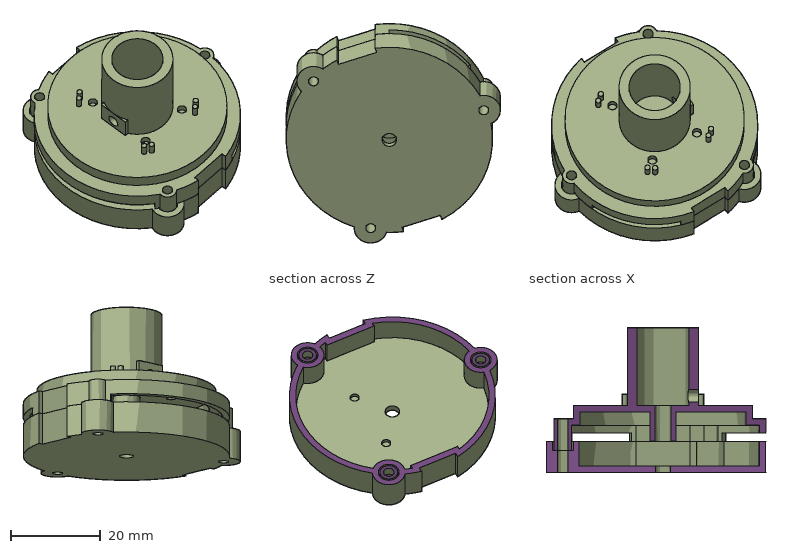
import cadquery as cq
import math

base_height = 6.95
vent_top = 8.8
flange_top = 12.05
lid_top = 15.0
pin_top = 17.5
pad_top = 20.0
tube_top = 32.3

wall = 1.5
outer_radius = 46.0 / 2
inner_radius = outer_radius - wall
lid_radius = 20.0
lid_inner_radius = 37.0 / 2

flat_distance = 21.45
flat_half_width = 4.5
block_outer = 21.75
block_inner = 19.8
block_half_width = 6.0

lug_circle_radius = 22.3
lug_angles = [90, 210, 330]
lug_diameter = 7.4
boss_diameter = 4.0
socket_diameter = 4.5
socket_depth = 2.0
screw_hole_diameter = 2.2

vent_arcs = [(19, 71), (109, 161), (217.6, 322.4)]

shaft_hole_diameter = 3.5
base_shaft_hole_diameter = 3.2

floor_recess_diameter = 2.0
floor_recess_places = [(-7.5, -5.55), (7.5, -5.55)]
floor_recess_depth = wall / 2

tube_diameter = 15.85
tube_bore_diameter = 11.4
bushing_diameter = 6.0

pad_half_width = 3.63
pad_hole_diameter = 2.7
pad_hole_height = 17.1

lid_hole_diameter = 2.0
lid_hole_place = (8.0, 6.0)
pin_diameter = 1.2
pin_places = [(9.85, 8.5), (10.9, 7.15)]

lug_places = [
    (
        lug_circle_radius * math.cos(math.radians(angle)),
        lug_circle_radius * math.sin(math.radians(angle)),
    )
    for angle in lug_angles
]


def in_four_quadrants(x, y):
    return [(sx * x, sy * y) for sx in (1, -1) for sy in (1, -1)]


def cylinders(places, diameter, bottom, top):
    """Upright cylinders between two heights, one at each place."""
    return (
        cq.Workplane("XY", origin=(0, 0, bottom))
        .pushPoints(places)
        .circle(diameter / 2)
        .extrude(top - bottom)
    )


def disc(radius, bottom, top):
    return cylinders([(0, 0)], 2 * radius, bottom, top)


def upright_box(x_range, y_range, z_range):
    sizes = [high - low for low, high in (x_range, y_range, z_range)]
    corner = (x_range[0], y_range[0], z_range[0])
    return cq.Workplane("XY", origin=corner).box(*sizes, centered=False)


def side_blocks(bottom, top):
    """Straight wall blocks behind the two side flats."""
    right = upright_box(
        (block_inner, block_outer), (-block_half_width, block_half_width), (bottom, top)
    )
    return right.union(right.mirror("YZ"))


def side_notches(bottom, top):
    """Cutters that leave the two side flats."""
    right = upright_box(
        (flat_distance, outer_radius + wall), (-flat_half_width, flat_half_width), (bottom, top)
    )
    return right.union(right.mirror("YZ"))


def vent_sector(start, end):
    """Wedge between two angles, reaching from the axis to beyond the wall."""
    reach = 2 * outer_radius
    corners = [
        (reach * math.cos(math.radians(angle)), reach * math.sin(math.radians(angle)))
        for angle in (start, (start + end) / 2, end)
    ]
    return (
        cq.Workplane("XY", origin=(0, 0, base_height))
        .polyline([(0, 0)] + corners)
        .close()
        .extrude(vent_top - base_height)
    )


def make_base():
    body = disc(outer_radius, 0, base_height)
    body = body.cut(disc(inner_radius, wall, base_height))
    body = body.union(side_blocks(0, base_height))
    body = body.union(cylinders(lug_places, lug_diameter, 0, base_height))
    body = body.cut(side_notches(0, base_height))
    body = body.cut(cylinders(lug_places, socket_diameter, base_height - socket_depth, base_height))
    body = body.cut(cylinders(lug_places, screw_hole_diameter, 0, base_height))
    body = body.cut(
        cylinders(floor_recess_places, floor_recess_diameter, wall - floor_recess_depth, wall)
    )
    return body.cut(disc(base_shaft_hole_diameter / 2, 0, wall))


def make_cover():
    body = disc(outer_radius, base_height, flange_top)
    body = body.union(disc(lid_radius, flange_top, lid_top))
    body = body.cut(disc(inner_radius, base_height, flange_top - wall))
    body = body.cut(disc(lid_inner_radius, base_height, lid_top - wall))

    for start, end in vent_arcs:
        body = body.cut(vent_sector(start, end))

    body = body.union(side_blocks(base_height, flange_top))
    body = body.cut(side_notches(base_height, flange_top))
    body = body.union(cylinders(lug_places, boss_diameter, base_height - socket_depth, flange_top))
    body = body.cut(
        cylinders(lug_places, screw_hole_diameter, base_height - socket_depth, flange_top)
    )

    body = body.union(disc(tube_diameter / 2, lid_top, tube_top))
    pad = upright_box(
        (-pad_half_width, pad_half_width), (-tube_diameter / 2, 0), (lid_top, pad_top)
    )
    body = body.union(pad)
    body = body.cut(disc(tube_bore_diameter / 2, lid_top, tube_top))
    pad_hole = (
        cq.Workplane("XZ", origin=(0, 0, pad_hole_height))
        .circle(pad_hole_diameter / 2)
        .extrude(tube_diameter)
    )
    body = body.cut(pad_hole)

    body = body.union(disc(bushing_diameter / 2, base_height, lid_top))
    body = body.cut(disc(shaft_hole_diameter / 2, base_height, lid_top))
    lid_holes = in_four_quadrants(*lid_hole_place)
    body = body.cut(cylinders(lid_holes, lid_hole_diameter, lid_top - wall, lid_top))
    for place in pin_places:
        body = body.union(
            cylinders(in_four_quadrants(*place), pin_diameter, lid_top - wall, pin_top)
        )
    return body


base = make_base()
cover = make_cover()
result = cq.Compound.makeCompound([base.val(), cover.val()])